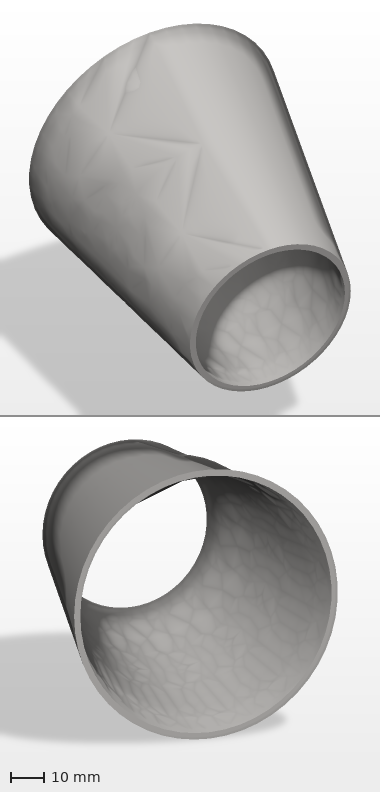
import cadquery as cq

length = 90.0
wall = 2.0
large_diameter = 83.8
small_diameter = 54.2
small_end_offset_y = -6.7


def tapered_solid(inset):
    """Loft between the two end circles, each reduced in radius by the inset."""
    return (
        cq.Workplane("YZ")
        .circle(large_diameter / 2 - inset)
        .workplane(offset=length)
        .center(small_end_offset_y, 0)
        .circle(small_diameter / 2 - inset)
        .loft(ruled=True)
    )


result = tapered_solid(0).cut(tapered_solid(wall))